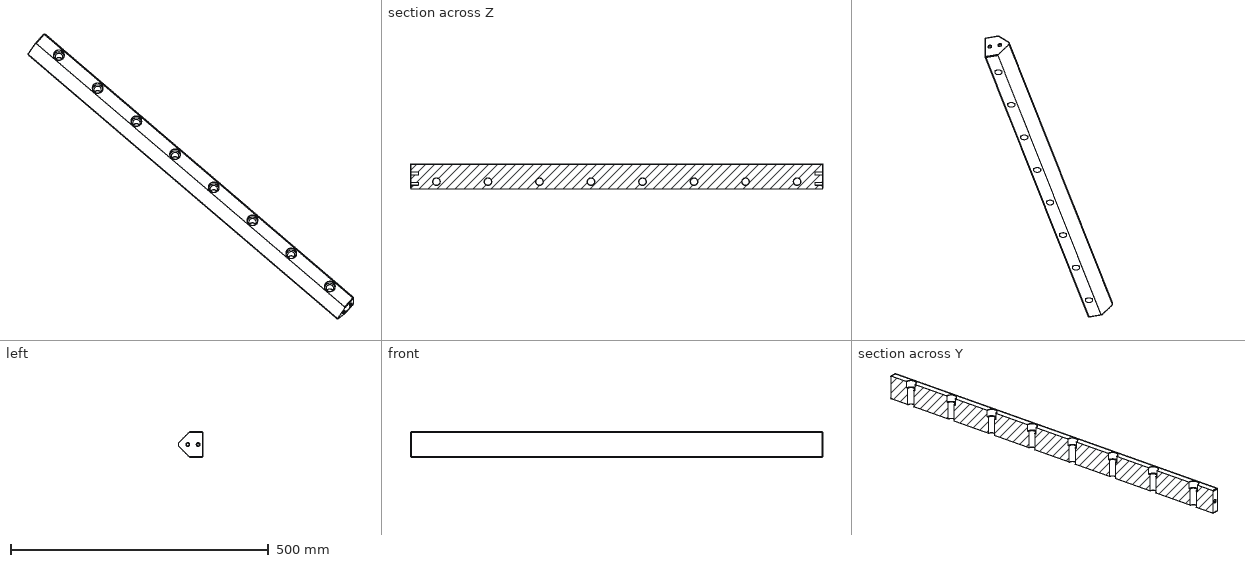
import cadquery as cq

length = 800.0
width = 48.5
height = 50.0
nose_flat = 5.0
back_chamfer = 2.0
end_chamfer = 1.5

mount_count = 8
mount_pitch = length / mount_count
mount_y = 14.25
mount_diameter = 14.0
counterbore_diameter = 20.0
counterbore_depth = 14.0
counterbore_chamfer = 0.5

end_hole_diameter = 5.25
end_hole_depth = 15.0
end_hole_positions = (10.0, 30.0)
end_hole_chamfer = 1.0

chamfer_angle = 45.0

half_height = height / 2
half_nose = nose_flat / 2
shoulder_y = width - (half_height - half_nose)


def make_profile_bar():
    outline = [
        (0, -half_height),
        (shoulder_y, -half_height),
        (width, -half_nose),
        (width, half_nose),
        (shoulder_y, half_height),
        (0, half_height),
    ]
    bar = cq.Workplane("YZ").polyline(outline).close().extrude(length)
    return bar.faces("<Y").edges("|X").chamfer(back_chamfer)


def chamfer_ends(bar):
    envelope = cq.Workplane("XY").box(length, width, height, centered=(False, False, True))
    envelope = envelope.faces("<X or >X").edges("<Y or <Z or >Z").chamfer(end_chamfer)
    return bar.intersect(envelope)


def cut_mounting_holes(body):
    centers = [((i + 0.5) * mount_pitch, mount_y) for i in range(mount_count)]
    top = cq.Workplane("XY").workplane(offset=half_height).pushPoints(centers)
    through = top.circle(mount_diameter / 2).extrude(-height)
    counterbores = top.circle(counterbore_diameter / 2).extrude(-counterbore_depth)
    mouth_radius = counterbore_diameter / 2 + counterbore_chamfer
    mouths = top.circle(mouth_radius).extrude(-counterbore_chamfer, taper=chamfer_angle)
    return body.cut(through).cut(counterbores).cut(mouths)


def cut_end_holes(body):
    end = cq.Workplane("YZ").pushPoints([(y, 0) for y in end_hole_positions])
    holes = end.circle(end_hole_diameter / 2).extrude(end_hole_depth)
    mouth_radius = end_hole_diameter / 2 + end_hole_chamfer
    mouths = end.circle(mouth_radius).extrude(end_hole_chamfer, taper=chamfer_angle)
    near_cutter = holes.union(mouths)
    far_cutter = near_cutter.mirror("YZ", basePointVector=(length / 2, 0, 0))
    return body.cut(near_cutter).cut(far_cutter)


result = cut_end_holes(cut_mounting_holes(chamfer_ends(make_profile_bar())))